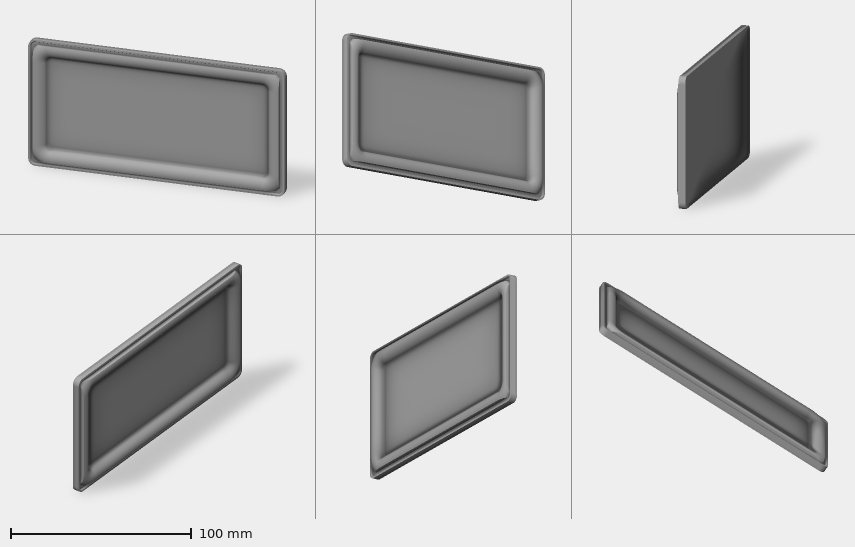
import cadquery as cq
import math

LENGTH = 150.0
HEIGHT = 75.0
CORNER_RADIUS = 4.0

RIM_DEPTH = 4.0
RIM_WIDTH = 1.0
RIM_WALL_RUN = 0.5
GROOVE_FLOOR_DEPTH = 3.0

BORDER_INSET = 3.0
BORDER_CORNER_RADIUS = 1.0
BORDER_CENTER_INSET = 13.0
CREST_INSET = 4.95
CREST_DEPTH = 5.79
CREST_RADIUS = 5.2
FLOOR_INSET = 11.45
FLOOR_DEPTH = 1.0

CORNER_FLAT_DEPTH = 2.8

SLOPE_RUN = FLOOR_INSET - CREST_INSET
SLOPE_DROP = CREST_DEPTH - FLOOR_DEPTH
SLOPE_ANGLE = 2 * math.atan2(SLOPE_DROP, SLOPE_RUN)
FLOOR_FILLET_RADIUS = SLOPE_RUN / math.sin(SLOPE_ANGLE) - CREST_RADIUS

CENTER_X = LENGTH / 2 - BORDER_CENTER_INSET
CENTER_Z = HEIGHT / 2 - BORDER_CENTER_INSET

ORIGIN = (0, 0, 0)
Y_AXIS_POINT = (0, 1, 0)


def rounded_outline(inset, radius):
    """Flat rounded rectangle set in from the plate outline."""
    outline = cq.Sketch().rect(LENGTH - 2 * inset, HEIGHT - 2 * inset)
    return outline.vertices().fillet(radius)


def rounded_block(inset, radius, depth):
    """Rounded rectangular block from the back to the given depth."""
    return cq.Workplane("XZ").placeSketch(rounded_outline(inset, radius)).extrude(depth)


def groove_opening():
    """Space inside the rim, whose wall slopes inward from the rim down to the groove floor."""
    floor_inset = RIM_WIDTH + RIM_WALL_RUN
    bottom = rounded_outline(floor_inset, CORNER_RADIUS - floor_inset)
    top = rounded_outline(RIM_WIDTH, CORNER_RADIUS - RIM_WIDTH)
    raised_top = top.moved(cq.Location(cq.Vector(0, 0, RIM_DEPTH - GROOVE_FLOOR_DEPTH)))
    floor_plane = cq.Workplane("XZ", origin=(0, -GROOVE_FLOOR_DEPTH, 0))
    return floor_plane.placeSketch(bottom, raised_top).loft()


def frame():
    """Outer rim and groove floor, open in the middle for the tray."""
    plate = rounded_block(0, CORNER_RADIUS, RIM_DEPTH).cut(groove_opening())
    return plate.cut(rounded_block(BORDER_INSET, BORDER_CORNER_RADIUS, RIM_DEPTH))


def border_profile():
    """Half section of the border in XY, with X running outward from the corner centre."""
    fillet_start_x = BORDER_CENTER_INSET - FLOOR_INSET
    fillet_center_y = -(FLOOR_DEPTH + FLOOR_FILLET_RADIUS)
    crest_x = BORDER_CENTER_INSET - CREST_INSET
    crest_center_y = CREST_RADIUS - CREST_DEPTH

    def on_fillet(angle):
        x = fillet_start_x + FLOOR_FILLET_RADIUS * math.sin(angle)
        y = fillet_center_y + FLOOR_FILLET_RADIUS * math.cos(angle)
        return (x, y)

    def on_crest(angle):
        x = crest_x + CREST_RADIUS * math.sin(angle)
        y = crest_center_y - CREST_RADIUS * math.cos(angle)
        return (x, y)

    crest_end_angle = math.acos((CORNER_FLAT_DEPTH + crest_center_y) / CREST_RADIUS)
    outer_x = BORDER_CENTER_INSET * math.sqrt(2)
    return (
        cq.Workplane("XY")
        .lineTo(0, -FLOOR_DEPTH)
        .lineTo(fillet_start_x, -FLOOR_DEPTH)
        .threePointArc(on_fillet(SLOPE_ANGLE / 2), on_fillet(SLOPE_ANGLE))
        .threePointArc(on_crest(0), on_crest(crest_end_angle))
        .lineTo(outer_x, -CORNER_FLAT_DEPTH)
        .lineTo(outer_x, 0)
        .close()
    )


def border_sides():
    """The four straight stretches of the border."""
    right = border_profile().extrude(CENTER_Z, both=True).translate((CENTER_X, 0, 0))
    upper = border_profile().extrude(CENTER_X, both=True)
    upper = upper.rotate(ORIGIN, Y_AXIS_POINT, -90).translate((0, 0, CENTER_Z))
    pair = right.union(upper)
    return pair.union(pair.rotate(ORIGIN, Y_AXIS_POINT, 180))


def border_corners():
    """The four quarter-turn corners of the border."""
    corner = border_profile().revolve(90, ORIGIN, (0, -1, 0)).translate((CENTER_X, 0, CENTER_Z))
    upper_pair = corner.union(corner.mirror("YZ"))
    return upper_pair.union(upper_pair.mirror("XY"))


def tray():
    """Floor and border, trimmed to the border outline."""
    floor = cq.Workplane("XZ").rect(2 * CENTER_X, 2 * CENTER_Z).extrude(FLOOR_DEPTH)
    body = floor.union(border_sides()).union(border_corners())
    return body.intersect(rounded_block(BORDER_INSET, BORDER_CORNER_RADIUS, CREST_DEPTH))


result = frame().union(tray())